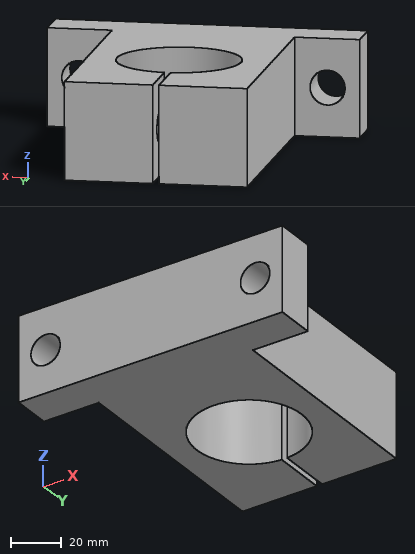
import cadquery as cq

base_length = 126.0
total_depth = 120.0
height = 40.0

flange_thickness = 18.0
body_width = 73.6

bore_diameter = 50.0
bore_y = 70.0
slit_width = 2.5

screw_diameter = 12.0
screw_y = 105.0

mount_diameter = 14.0
mount_spacing = 100.0


def box_between_y(width, y_start, y_end):
    """Full-height box centred on X and Z, spanning y_start to y_end."""
    depth = y_end - y_start
    return cq.Workplane("XY").box(width, depth, height).translate((0, y_start + depth / 2, 0))


def along_y_cylinder(x, diameter, length):
    """Cylinder at mid-height, running in +Y from the mounting face."""
    return cq.Workplane("XZ").center(x, 0).circle(diameter / 2).extrude(-length)


flange = box_between_y(base_length, 0, flange_thickness)
body = box_between_y(body_width, 0, total_depth)
result = flange.union(body)

bore = cq.Workplane("XY").center(0, bore_y).circle(bore_diameter / 2).extrude(height / 2, both=True)
slit = box_between_y(slit_width, bore_y, total_depth)
result = result.cut(bore).cut(slit)

screw = cq.Workplane("YZ").center(screw_y, 0).circle(screw_diameter / 2).extrude(slit_width / 2, both=True)
result = result.union(screw)

for side in (-1, 1):
    result = result.cut(along_y_cylinder(side * mount_spacing / 2, mount_diameter, flange_thickness))